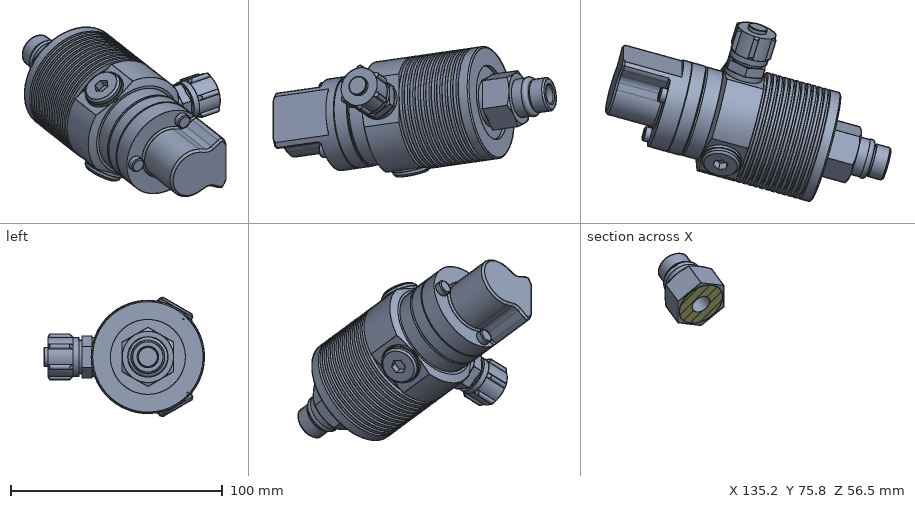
import cadquery as cq
import math

TOTAL_LENGTH = 135.2

NOSE_RADIUS = 8.0
NOSE_CHAMFER = 0.8
NOSE_LENGTH = 7.2
NECK_RADIUS = 13.7 / 2
BEAD_RADIUS = 19.0 / 2
BEAD_SECTION_RADIUS = 1.8
BEAD_START = 8.1
COLLAR_RADIUS = 9.2
BORE_RADIUS = 9.0 / 2
BORE_CHAMFER = 0.5

HEX_START = 16.0
HEX_FLATS = 24.2
HEX_CHAMFER = 1.0
HEX_END = 29.7
SHANK_RADIUS = 11.5

BODY_START = 30.3
BODY_RADIUS = 26.8
BODY_CHAMFER = 0.7
RECESS_RADIUS = 17.7
RECESS_DEPTH = 1.8
BLOCK_START = 67.6
FIN_ROOT_RADIUS = 48.5 / 2
FIRST_GROOVE = 35.5
GROOVE_WIDTH = 1.28
GROOVE_COUNT = 12
GROOVE_PITCH = (BLOCK_START - GROOVE_WIDTH - FIRST_GROOVE) / (GROOVE_COUNT - 1)

BLOCK_END = 87.2
BLOCK_TAPER_LENGTH = 1.5
BLOCK_END_RADIUS = 23.0
FLAT_DISTANCE = 23.9
SPOT_FACE_RADIUS = 10.4
PORT_X = 77.7
FLAT_ANGLES = (0, 120, 240)

SLEEVE_RADIUS = 43.4 / 2
SLEEVE_CHAMFER_LENGTH = 0.8
SLEEVE_CHAMFER_DEPTH = 0.3
RELIEF_START = 95.3
RELIEF_RADIUS = 20.5
FLANGE_START = 95.7
FLANGE_RADIUS = 21.9
SEAM_START = 102.2
SEAM_WIDTH = 0.3
SEAM_DEPTH = 0.3
FLANGE_END = 111.4

CONNECTOR_RADIUS = 12.5
CONNECTOR_CHAMFER = 1.1
CONNECTOR_FLARE = 1.0
FLARE_CHAMFER = 0.88
KEY_FLAT_START = 106.4
KEY_FLAT_Y = 18.7
KEY_FOOT_Y = 4.0
KEY_FOOT_LENGTH = 3.5
KEY_HOLLOW_RADIUS = 4.5
KEY_FLANK_ANGLE = 30.0
KEY_FLANK_LENGTH = 4.2
KEY_CORNER_RADIUS = 4.0

SCREW_RADIUS = 6.9 / 2
SCREW_HEIGHT = 3.2
SCREW_CHAMFER = 0.5
SCREW_CIRCLE_RADIUS = 17.5
SCREW_ANGLES = (60, 180, 300)

PLUG_WASHER_RADIUS = 19.0 / 2
PLUG_HEAD_BASE = 25.4
PLUG_HEAD_RADIUS = 18.0 / 2
PLUG_RIM = 26.9
PLUG_TOP = 28.0
PLUG_TOP_RADIUS = 8.0
SOCKET_FLATS = 6.2
SOCKET_DEPTH = 5.4

VALVE_COLLAR_RADIUS = 9.2
VALVE_HEX_BASE = 26.5
VALVE_HEX_FLATS = 17.3
VALVE_HEX_TOP = 31.2
VALVE_NECK_RADIUS = 8.0
KNOB_COLLAR_BASE = 32.6
KNOB_BASE = 35.4
KNOB_RADIUS = 9.3
KNOB_TOP = 47.2
VALVE_TIP_RADIUS = 9.0 / 2
VALVE_TIP_TOP = 49.0
VALVE_TIP_CHAMFER = 0.3
RIB_COUNT = 6
RIB_RADIUS = 1.2
RIB_CIRCLE_RADIUS = 19.3 / 2
RIB_BASE_CHAMFER = 1.6
RIB_TOP_TAPER = 1.0

CORNERS_ACROSS = 30.0


def turned(profile):
    """Solid of revolution about X from an open XY profile that starts and ends on the axis."""
    return profile.close().revolve(360, (0, 0, 0), (1, 0, 0))


def disc(start, end, radius):
    return cq.Workplane("YZ", origin=(start, 0, 0)).circle(radius).extrude(end - start)


def ring_groove(start, end, root_radius):
    clearance = 1.4
    blank = disc(start, end, BODY_RADIUS + clearance)
    return blank.cut(disc(start, end, root_radius))


def hexagon(plane, flats, height, turn=0.0):
    """Hexagonal prism; a zero turn puts a corner on the plane's local X axis."""
    corners = flats / math.cos(math.radians(30))
    return cq.Workplane(plane).transformed(rotate=(0, 0, turn)).polygon(6, corners).extrude(height)


def port_plane(height):
    """Plane square to the port axis at +Y, with its local X along the main axis."""
    return cq.Plane(origin=(PORT_X, height, 0), xDir=(1, 0, 0), normal=(0, 1, 0))


def port_disc(base, top, radius):
    return cq.Workplane(port_plane(base)).circle(radius).extrude(top - base)


def make_nose():
    bead_center = BEAD_START + BEAD_SECTION_RADIUS
    bead_center_radius = BEAD_RADIUS - BEAD_SECTION_RADIUS
    collar_rise = COLLAR_RADIUS - bead_center_radius
    bead_end = bead_center + math.sqrt(BEAD_SECTION_RADIUS**2 - collar_rise**2)
    profile = (
        cq.Workplane("XY")
        .moveTo(0, 0)
        .lineTo(0, NOSE_RADIUS - NOSE_CHAMFER)
        .lineTo(NOSE_CHAMFER, NOSE_RADIUS)
        .lineTo(NOSE_LENGTH, NOSE_RADIUS)
        .lineTo(NOSE_LENGTH, NECK_RADIUS)
        .lineTo(BEAD_START, NECK_RADIUS)
        .lineTo(BEAD_START, bead_center_radius)
        .threePointArc((bead_center, BEAD_RADIUS), (bead_end, COLLAR_RADIUS))
        .lineTo(HEX_START, COLLAR_RADIUS)
        .lineTo(HEX_START, 0)
    )
    return turned(profile)


def make_hex_nut():
    start_plane = cq.Plane(origin=(HEX_START, 0, 0), xDir=(0, 0, 1), normal=(1, 0, 0))
    nut = hexagon(start_plane, HEX_FLATS, HEX_END - HEX_START)
    corner_radius = HEX_FLATS / math.sqrt(3)
    chamfer_envelope = turned(
        cq.Workplane("XY")
        .moveTo(HEX_START, 0)
        .lineTo(HEX_START, HEX_FLATS / 2)
        .lineTo(HEX_START + HEX_CHAMFER, corner_radius)
        .lineTo(HEX_END, corner_radius)
        .lineTo(HEX_END, 0)
    )
    shank = disc(HEX_END, BODY_START + RECESS_DEPTH, SHANK_RADIUS)
    return nut.intersect(chamfer_envelope).union(shank)


def make_bore():
    depth = BODY_START
    return turned(
        cq.Workplane("XY")
        .moveTo(0, 0)
        .lineTo(0, BORE_RADIUS + BORE_CHAMFER)
        .lineTo(BORE_CHAMFER, BORE_RADIUS)
        .lineTo(depth, BORE_RADIUS)
        .lineTo(depth, 0)
    )


def make_body():
    body = turned(
        cq.Workplane("XY")
        .moveTo(BODY_START, 0)
        .lineTo(BODY_START, BODY_RADIUS - BODY_CHAMFER)
        .lineTo(BODY_START + BODY_CHAMFER, BODY_RADIUS)
        .lineTo(BLOCK_END - BLOCK_TAPER_LENGTH, BODY_RADIUS)
        .lineTo(BLOCK_END, BLOCK_END_RADIUS)
        .lineTo(BLOCK_END, 0)
    )
    body = body.cut(disc(BODY_START, BODY_START + RECESS_DEPTH, RECESS_RADIUS))
    for index in range(GROOVE_COUNT):
        start = FIRST_GROOVE + index * GROOVE_PITCH
        body = body.cut(ring_groove(start, start + GROOVE_WIDTH, FIN_ROOT_RADIUS))
    block_length = BLOCK_END - BLOCK_START
    flat_cutter = cq.Workplane("XY").box(
        block_length, BODY_RADIUS, 2 * BODY_RADIUS, centered=(False, False, True)
    )
    flat_cutter = flat_cutter.translate((BLOCK_START, FLAT_DISTANCE, 0))
    spot_face_cutter = port_disc(FLAT_DISTANCE, BODY_RADIUS, SPOT_FACE_RADIUS)
    flat_cutter = flat_cutter.union(spot_face_cutter)
    for angle in FLAT_ANGLES:
        body = body.cut(flat_cutter.rotate((0, 0, 0), (1, 0, 0), angle))
    return body


def make_rear_housing():
    sleeve = disc(BLOCK_END, RELIEF_START, SLEEVE_RADIUS)
    housing = sleeve.faces(">X").edges().chamfer(SLEEVE_CHAMFER_LENGTH, SLEEVE_CHAMFER_DEPTH)
    housing = housing.union(disc(RELIEF_START, FLANGE_START, RELIEF_RADIUS))
    housing = housing.union(disc(FLANGE_START, FLANGE_END, FLANGE_RADIUS))
    return housing.cut(ring_groove(SEAM_START, SEAM_START + SEAM_WIDTH, FLANGE_RADIUS - SEAM_DEPTH))


def connector_outline(start):
    """Round connector with a key that leaves it tangentially and flares outward to the flange radius."""
    foot_angle = math.asin(KEY_FOOT_Y / CONNECTOR_RADIUS)
    flank_angle = math.radians(KEY_FLANK_ANGLE)

    foot = (KEY_FOOT_Y, CONNECTOR_RADIUS * math.cos(foot_angle))
    hollow_start = (
        foot[0] + KEY_FOOT_LENGTH * math.cos(foot_angle),
        foot[1] - KEY_FOOT_LENGTH * math.sin(foot_angle),
    )
    hollow_center = (
        hollow_start[0] + KEY_HOLLOW_RADIUS * math.sin(foot_angle),
        hollow_start[1] + KEY_HOLLOW_RADIUS * math.cos(foot_angle),
    )
    hollow_bottom = (hollow_center[0], hollow_center[1] - KEY_HOLLOW_RADIUS)
    hollow_end = (
        hollow_center[0] + KEY_HOLLOW_RADIUS * math.sin(flank_angle),
        hollow_center[1] - KEY_HOLLOW_RADIUS * math.cos(flank_angle),
    )
    flank_end = (
        hollow_end[0] + KEY_FLANK_LENGTH * math.cos(flank_angle),
        hollow_end[1] + KEY_FLANK_LENGTH * math.sin(flank_angle),
    )
    corner_center = (
        flank_end[0] + KEY_CORNER_RADIUS * math.sin(flank_angle),
        flank_end[1] - KEY_CORNER_RADIUS * math.cos(flank_angle),
    )
    corner_top = (corner_center[0], corner_center[1] + KEY_CORNER_RADIUS)

    center_distance = math.hypot(*corner_center)
    center_angle = math.atan2(corner_center[1], corner_center[0])
    meeting_angle = center_angle + math.acos(
        (center_distance**2 + FLANGE_RADIUS**2 - KEY_CORNER_RADIUS**2)
        / (2 * center_distance * FLANGE_RADIUS)
    )
    corner_end = (FLANGE_RADIUS * math.cos(meeting_angle), FLANGE_RADIUS * math.sin(meeting_angle))

    def mirrored(point):
        return (point[0], -point[1])

    return (
        cq.Workplane("YZ", origin=(start, 0, 0))
        .moveTo(*foot)
        .lineTo(*hollow_start)
        .threePointArc(hollow_bottom, hollow_end)
        .lineTo(*flank_end)
        .threePointArc(corner_top, corner_end)
        .threePointArc((FLANGE_RADIUS, 0), mirrored(corner_end))
        .threePointArc(mirrored(corner_top), mirrored(flank_end))
        .lineTo(*mirrored(hollow_end))
        .threePointArc(mirrored(hollow_bottom), mirrored(hollow_start))
        .lineTo(*mirrored(foot))
        .threePointArc((-CONNECTOR_RADIUS, 0), foot)
        .close()
    )


def make_connector():
    connector = connector_outline(FLANGE_END).extrude(TOTAL_LENGTH - FLANGE_END)
    connector = connector.faces(">X").edges().chamfer(CONNECTOR_CHAMFER)
    flare_end = FLANGE_END + CONNECTOR_FLARE
    flare_start = FLANGE_END - CONNECTOR_FLARE
    flare = connector_outline(flare_start).offset2D(CONNECTOR_FLARE).extrude(flare_end - flare_start)
    flare = flare.faces(">X").edges().chamfer(FLARE_CHAMFER)
    flare = flare.intersect(disc(flare_start, flare_end, FLANGE_RADIUS))
    return connector.union(flare)


def make_key_flat():
    return cq.Workplane("XY").box(
        TOTAL_LENGTH - KEY_FLAT_START, FLANGE_RADIUS, 2 * FLANGE_RADIUS, centered=(False, False, True)
    ).translate((KEY_FLAT_START, KEY_FLAT_Y, 0))


def make_screw(angle):
    screw = disc(FLANGE_END, FLANGE_END + SCREW_HEIGHT, SCREW_RADIUS).faces(">X").chamfer(SCREW_CHAMFER)
    return screw.translate((0, SCREW_CIRCLE_RADIUS, 0)).rotate((0, 0, 0), (1, 0, 0), angle)


def make_plug(angle):
    plug = port_disc(FLAT_DISTANCE, PLUG_HEAD_BASE, PLUG_WASHER_RADIUS)
    plug = plug.union(port_disc(PLUG_HEAD_BASE, PLUG_TOP, PLUG_HEAD_RADIUS))
    rim_edge = plug.faces(">Y").edges()
    plug = rim_edge.chamfer(PLUG_TOP - PLUG_RIM, PLUG_HEAD_RADIUS - PLUG_TOP_RADIUS)
    socket_plane = port_plane(PLUG_TOP - SOCKET_DEPTH)
    plug = plug.cut(hexagon(socket_plane, SOCKET_FLATS, SOCKET_DEPTH, CORNERS_ACROSS))
    return plug.rotate((0, 0, 0), (1, 0, 0), angle)


def make_knob():
    outer_radius = RIB_CIRCLE_RADIUS + RIB_RADIUS
    rib_height = KNOB_TOP - KNOB_BASE
    ribs = (
        cq.Workplane(port_plane(KNOB_BASE))
        .polarArray(RIB_CIRCLE_RADIUS, 90, 360, RIB_COUNT)
        .circle(RIB_RADIUS)
        .extrude(rib_height)
    )
    envelope = (
        cq.Workplane("XY")
        .moveTo(0, KNOB_BASE)
        .lineTo(KNOB_RADIUS, KNOB_BASE)
        .lineTo(outer_radius, KNOB_BASE + RIB_BASE_CHAMFER)
        .lineTo(outer_radius, KNOB_TOP - RIB_TOP_TAPER)
        .lineTo(KNOB_RADIUS, KNOB_TOP)
        .lineTo(0, KNOB_TOP)
        .close()
        .revolve(360, (0, 0, 0), (0, 1, 0))
        .translate((PORT_X, 0, 0))
    )
    return port_disc(KNOB_BASE, KNOB_TOP, KNOB_RADIUS).union(ribs.intersect(envelope))


def make_valve():
    valve = port_disc(FLAT_DISTANCE, VALVE_HEX_BASE, VALVE_COLLAR_RADIUS)
    hex_height = VALVE_HEX_TOP - VALVE_HEX_BASE
    valve = valve.union(hexagon(port_plane(VALVE_HEX_BASE), VALVE_HEX_FLATS, hex_height, CORNERS_ACROSS))
    valve = valve.union(port_disc(VALVE_HEX_TOP, KNOB_COLLAR_BASE, VALVE_NECK_RADIUS))
    valve = valve.union(port_disc(KNOB_COLLAR_BASE, KNOB_BASE, VALVE_COLLAR_RADIUS))
    valve = valve.union(make_knob())
    tip = port_disc(KNOB_TOP, VALVE_TIP_TOP, VALVE_TIP_RADIUS).faces(">Y").chamfer(VALVE_TIP_CHAMFER)
    return valve.union(tip)


result = make_body().union(make_hex_nut()).union(make_nose()).cut(make_bore())
result = result.union(make_rear_housing()).union(make_connector()).cut(make_key_flat())
for screw_angle in SCREW_ANGLES:
    result = result.union(make_screw(screw_angle))
valve_angle, *plug_angles = FLAT_ANGLES
for plug_angle in plug_angles:
    result = result.union(make_plug(plug_angle))
result = result.union(make_valve().rotate((0, 0, 0), (1, 0, 0), valve_angle))